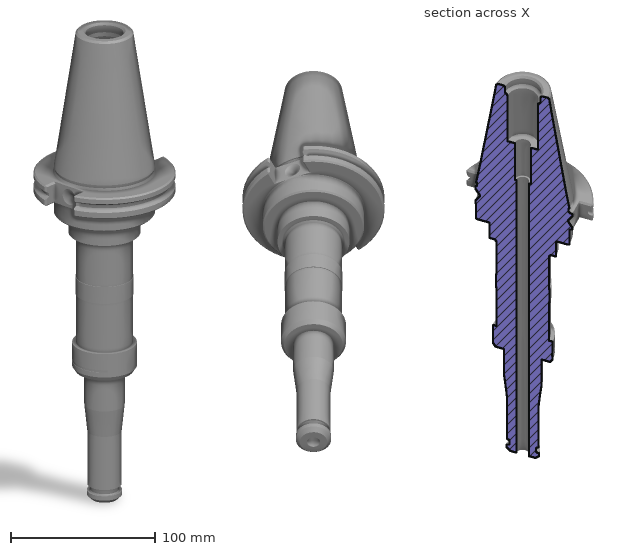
import cadquery as cq
import math

TOTAL_HEIGHT = 351.0
TAPER_LENGTH = 101.5
NECK_HEIGHT = 4.0
FLANGE_HEIGHT = 15.8
HUB_BOTTOM = 214.5
STEP_BOTTOM = 199.8
BAND_TOP = 166.8
BAND_BOTTOM = 154.0
COLLAR_TOP = 117.3
COLLAR_BOTTOM = 96.5
SHANK_BOTTOM = 70.5
CONE_BOTTOM = 50.5
NOSE_BOTTOM = 10.5
TIP_TOP = 6.0

GAUGE_Z = TOTAL_HEIGHT - TAPER_LENGTH
FLANGE_TOP = GAUGE_Z - NECK_HEIGHT
FLANGE_BOTTOM = FLANGE_TOP - FLANGE_HEIGHT
FLANGE_MIDDLE = (FLANGE_TOP + FLANGE_BOTTOM) / 2

TAPER_END_DIA = 40.0
GAUGE_DIA = 70.2
NECK_DIA = 68.5
FLANGE_DIA = 98.3
HUB_DIA = 70.2
STEP_DIA = 50.0
BODY_DIA = 39.3
BAND_DIA = 40.5
COLLAR_DIA = 45.0
SHANK_DIA = 28.0
NOSE_DIA = 24.0
GROOVE_DIA = 20.0
TIP_DIA = 24.5

TAPER_CHAMFER = 1.5
FLANGE_CHAMFER = 1.0
HUB_CHAMFER = 1.0
HUB_FOOT = 0.7
NECK_FOOT = 1.5
STEP_FOOT = 1.5
COLLAR_CHAMFER_HEIGHT = 3.0
COLLAR_CHAMFER_WIDTH = 2.0
TIP_CHAMFER = 2.8
GROOVE_FOOT = 0.7

V_DEPTH = 3.5
V_FLOOR = 2.5
V_RISE = 0.5
V_HALF_ANGLE = 30

MARK_Z = 104.3
MARK_HEIGHT = 1.8
MARK_DEPTH = 0.5
MARK_SWEEP = 94

MOUTH_DIA = 29.0
RECESS_DIA = 26.5
RECESS_DEPTH = 6.5
BORE_DIA = 22.0
BORE_DEPTH = 52.5
MOUTH_CHAMFER = (MOUTH_DIA - RECESS_DIA) / 2
RECESS_CONE = (RECESS_DIA - BORE_DIA) / 2
COOLANT_ENTRY_DIA = 11.5
COOLANT_ENTRY_DEPTH = 35.0
COOLANT_DIA = 9.0

SLOT_WIDTH = 25.0
SLOT_CHAMFER = 1.23
FRONT_SLOT_FLOOR = 37.2
REAR_SLOT_FLOOR = 35.5
DIMPLE_DIA = 11.5
DIMPLE_POINT_ANGLE = 118


def revolve_profile(points):
    """Revolve (radius, z) points about the Z axis."""
    return cq.Workplane("XZ").polyline(points).close().revolve(360, (0, 0), (0, 1))


def outer_body():
    """Solid of revolution from the nose tip up to the small end of the taper."""
    points = [
        (0, 0),
        (TIP_DIA / 2 - TIP_CHAMFER, 0),
        (TIP_DIA / 2, TIP_CHAMFER),
        (TIP_DIA / 2, TIP_TOP),
        (GROOVE_DIA / 2 + GROOVE_FOOT, TIP_TOP),
        (GROOVE_DIA / 2, TIP_TOP + GROOVE_FOOT),
        (GROOVE_DIA / 2, NOSE_BOTTOM - GROOVE_FOOT),
        (GROOVE_DIA / 2 + GROOVE_FOOT, NOSE_BOTTOM),
        (NOSE_DIA / 2, NOSE_BOTTOM),
        (NOSE_DIA / 2, CONE_BOTTOM),
        (SHANK_DIA / 2, SHANK_BOTTOM),
        (SHANK_DIA / 2, COLLAR_BOTTOM),
        (COLLAR_DIA / 2 - COLLAR_CHAMFER_WIDTH, COLLAR_BOTTOM),
        (COLLAR_DIA / 2, COLLAR_BOTTOM + COLLAR_CHAMFER_HEIGHT),
        (COLLAR_DIA / 2, COLLAR_TOP),
        (BODY_DIA / 2, COLLAR_TOP),
        (BODY_DIA / 2, BAND_BOTTOM),
        (BAND_DIA / 2, BAND_BOTTOM),
        (BAND_DIA / 2, BAND_TOP),
        (BODY_DIA / 2, BAND_TOP),
        (BODY_DIA / 2, STEP_BOTTOM - STEP_FOOT),
        (BODY_DIA / 2 + STEP_FOOT, STEP_BOTTOM),
        (STEP_DIA / 2, STEP_BOTTOM),
        (STEP_DIA / 2, HUB_BOTTOM),
        (HUB_DIA / 2 - HUB_CHAMFER, HUB_BOTTOM),
        (HUB_DIA / 2, HUB_BOTTOM + HUB_CHAMFER),
        (HUB_DIA / 2, FLANGE_BOTTOM - HUB_FOOT),
        (HUB_DIA / 2 + HUB_FOOT, FLANGE_BOTTOM),
        (FLANGE_DIA / 2 - FLANGE_CHAMFER, FLANGE_BOTTOM),
        (FLANGE_DIA / 2, FLANGE_BOTTOM + FLANGE_CHAMFER),
        (FLANGE_DIA / 2, FLANGE_TOP - FLANGE_CHAMFER),
        (FLANGE_DIA / 2 - FLANGE_CHAMFER, FLANGE_TOP),
        (NECK_DIA / 2 + NECK_FOOT, FLANGE_TOP),
        (NECK_DIA / 2, FLANGE_TOP + NECK_FOOT),
        (NECK_DIA / 2, GAUGE_Z),
        (GAUGE_DIA / 2, GAUGE_Z),
        (TAPER_END_DIA / 2, TOTAL_HEIGHT - TAPER_CHAMFER),
        (TAPER_END_DIA / 2 - TAPER_CHAMFER, TOTAL_HEIGHT),
        (0, TOTAL_HEIGHT),
    ]
    return revolve_profile(points)


def v_groove():
    """Ring removed from the flange rim to leave the gripper groove."""
    middle = FLANGE_MIDDLE + V_RISE
    floor_half = V_FLOOR / 2
    mouth_half = floor_half + V_DEPTH * math.tan(math.radians(V_HALF_ANGLE))
    rim = FLANGE_DIA / 2
    floor = rim - V_DEPTH
    return revolve_profile([
        (floor, middle - floor_half),
        (rim, middle - mouth_half),
        (rim, middle + mouth_half),
        (floor, middle + floor_half),
    ])


def axial_bore():
    """Stepped bore from the taper end, with a coolant hole through to the nose tip."""
    entry_top = TOTAL_HEIGHT - BORE_DEPTH
    entry_bottom = entry_top - COOLANT_ENTRY_DEPTH
    recess_bottom = TOTAL_HEIGHT - RECESS_DEPTH
    return revolve_profile([
        (0, 0),
        (COOLANT_DIA / 2, 0),
        (COOLANT_DIA / 2, entry_bottom),
        (COOLANT_ENTRY_DIA / 2, entry_bottom),
        (COOLANT_ENTRY_DIA / 2, entry_top),
        (BORE_DIA / 2, entry_top),
        (BORE_DIA / 2, recess_bottom - RECESS_CONE),
        (RECESS_DIA / 2, recess_bottom),
        (RECESS_DIA / 2, TOTAL_HEIGHT - MOUTH_CHAMFER),
        (MOUTH_DIA / 2, TOTAL_HEIGHT),
        (0, TOTAL_HEIGHT),
    ])


def collar_mark():
    """Shallow arc groove centred on the -Y side of the collar."""
    radius = COLLAR_DIA / 2
    return (
        cq.Workplane("XZ")
        .center(radius, MARK_Z)
        .rect(2 * MARK_DEPTH, MARK_HEIGHT)
        .revolve(MARK_SWEEP, (-radius, 0), (-radius, 1))
        .rotate((0, 0, 0), (0, 0, 1), -90 - MARK_SWEEP / 2)
    )


def drive_slot(side, floor):
    """Slot through the flange on the -Y (side=-1) or +Y (side=1) side, chamfered at its mouth."""
    reach = FLANGE_DIA / 2
    half = SLOT_WIDTH / 2
    wide = half + SLOT_CHAMFER
    corner = math.sqrt(reach**2 - wide**2)
    slot = (
        cq.Workplane("XY", origin=(0, side * (floor + reach) / 2, FLANGE_BOTTOM))
        .rect(SLOT_WIDTH, reach - floor)
        .extrude(FLANGE_HEIGHT)
    )
    rim_flare = (
        cq.Workplane("XY", origin=(0, 0, FLANGE_BOTTOM))
        .polyline([
            (-half, side * (corner - SLOT_CHAMFER)),
            (-wide, side * corner),
            (-wide, side * reach),
            (wide, side * reach),
            (wide, side * corner),
            (half, side * (corner - SLOT_CHAMFER)),
        ])
        .close()
        .extrude(FLANGE_HEIGHT)
    )
    top = FLANGE_TOP
    bottom = FLANGE_BOTTOM
    face_flare = (
        cq.Workplane("XZ", origin=(0, side * floor, 0))
        .polyline([
            (-wide, bottom),
            (-half, bottom + SLOT_CHAMFER),
            (-half, top - SLOT_CHAMFER),
            (-wide, top),
            (wide, top),
            (half, top - SLOT_CHAMFER),
            (half, bottom + SLOT_CHAMFER),
            (wide, bottom),
        ])
        .close()
        .extrude(-side * (reach - floor))
    )
    return slot.union(rim_flare).union(face_flare)


def slot_dimple(side, floor):
    """Conical drill point in the floor of a drive slot."""
    radius = DIMPLE_DIA / 2
    depth = radius / math.tan(math.radians(DIMPLE_POINT_ANGLE / 2))
    return cq.Workplane(cq.Solid.makeCone(
        radius, 0, depth, cq.Vector(0, side * floor, FLANGE_MIDDLE), cq.Vector(0, -side, 0)
    ))


result = outer_body().cut(v_groove()).cut(axial_bore()).cut(collar_mark())
for side, floor in ((-1, FRONT_SLOT_FLOOR), (1, REAR_SLOT_FLOOR)):
    result = result.cut(drive_slot(side, floor)).cut(slot_dimple(side, floor))